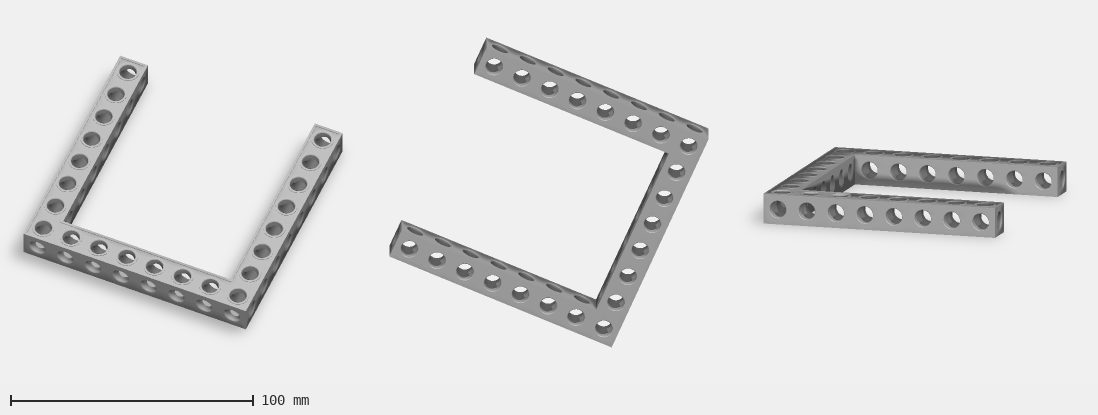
import cadquery as cq

hole_count = 8
pitch = 12.5
hole_diameter = 7.0
mouth_chamfer = 0.25
collar_diameter = 9.2
rim_width = 1.0
recess_depth = 0.25

side = hole_count * pitch
half_side = side / 2
half_pitch = pitch / 2
row_offset = half_side - half_pitch
hole_positions = [i * pitch - row_offset for i in range(hole_count)]

base_centres = [(x, -row_offset) for x in hole_positions]
arm_centres = [(x, y) for x in (-row_offset, row_offset) for y in hole_positions[1:]]
vertical_centres = base_centres + arm_centres


def u_plate(inset, bottom, thickness):
    """U shape open toward +Y, with its whole outline moved inward by inset."""
    outer = half_side - inset
    inner = half_side - pitch + inset
    outline = [
        (-outer, outer),
        (-outer, -outer),
        (outer, -outer),
        (outer, outer),
        (inner, outer),
        (inner, -inner),
        (-inner, -inner),
        (-inner, outer),
    ]
    return cq.Workplane("XY", origin=(0, 0, bottom)).polyline(outline).close().extrude(thickness)


def top_recess():
    """Shallow pocket in the top face that leaves a rim and a collar round each hole."""
    floor = half_pitch - recess_depth
    collars = (
        cq.Workplane("XY", origin=(0, 0, floor))
        .pushPoints(vertical_centres)
        .circle(collar_diameter / 2)
        .extrude(recess_depth)
    )
    return u_plate(rim_width, floor, recess_depth).cut(collars)


def hole_cutter(start, direction, length):
    """Round hole from start along direction, with a chamfered mouth at both ends."""
    hole_radius = hole_diameter / 2
    mouth_radius = hole_radius + mouth_chamfer
    profile = [
        (0, 0),
        (mouth_radius, 0),
        (hole_radius, mouth_chamfer),
        (hole_radius, length - mouth_chamfer),
        (mouth_radius, length),
        (0, length),
    ]
    cutter = cq.Workplane("XZ").polyline(profile).close().revolve(360, (0, 0), (0, 1))
    placement = cq.Plane(origin=start, normal=direction)
    return cq.Workplane(cutter.val().moved(cq.Location(placement)))


def vertical_holes():
    """Holes through the thickness, along the base and both arms."""
    return [hole_cutter((x, y, -half_pitch), (0, 0, 1), pitch) for x, y in vertical_centres]


def front_holes():
    """Holes along Y: the outer two run down a whole arm, the others cross the base."""
    lengths = [side] + [pitch] * (hole_count - 2) + [side]
    return [
        hole_cutter((x, -half_side, 0), (0, 1, 0), length)
        for x, length in zip(hole_positions, lengths)
    ]


def side_holes():
    """Holes along X: the first runs down the whole base, the others cross both arms."""
    holes = [hole_cutter((-half_side, -row_offset, 0), (1, 0, 0), side)]
    for y in hole_positions[1:]:
        for x in (-half_side, half_side - pitch):
            holes.append(hole_cutter((x, y, 0), (1, 0, 0), pitch))
    return holes


result = u_plate(0, -half_pitch, pitch).cut(top_recess())
for hole in vertical_holes() + front_holes() + side_holes():
    result = result.cut(hole)